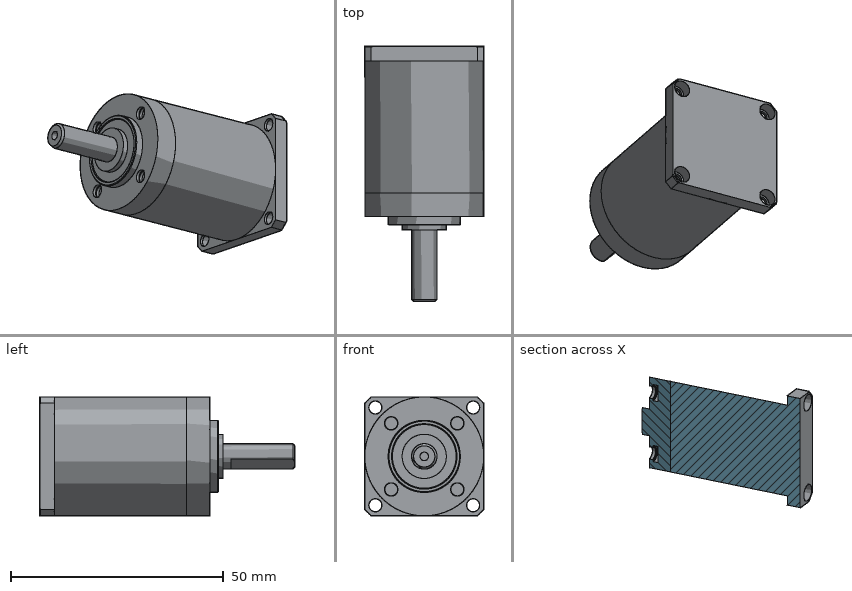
import cadquery as cq
import math


plate_side = 28.0
plate_thickness = 3.5
plate_corner_chamfer = 1.5
plate_hole_diameter = 3.0
plate_hole_spacing = 23.0
plate_counterbore_diameter = 4.0
plate_counterbore_depth = 2.85
plate_turned_diameter = 37.0
plate_turned_chamfer = 0.22
barrel_diameter = plate_side
housing_length = 34.6

head_length = 5.5
face_hole_circle = 22.0
face_hole_mouth_diameter = 3.0
face_hole_step_diameter = 3.2
face_hole_step_start = 0.87
face_hole_pocket_diameter = 4.0
face_hole_pocket_start = 1.1
face_hole_depth = 2.2
pilot_diameter = 17.0
pilot_height = 2.0
pilot_chamfer = 0.2
bore_diameter = 15.0
bore_chamfer = 0.2

shaft_diameter = 6.0
shaft_projection = 20.0
shaft_tip_chamfer = 0.5
collar_diameter = 10.4
collar_height = 1.1
flat_length = 15.0
flat_distance = 2.5
flat_angle = 225.0
center_hole_diameter = 2.0
center_hole_depth = 5.0

head_back_y = -housing_length
head_front_y = head_back_y - head_length
pilot_front_y = head_front_y - pilot_height
hub_front_y = pilot_front_y + bore_chamfer
collar_front_y = pilot_front_y - collar_height
shaft_tip_y = head_front_y - shaft_projection


def plane_at(y):
    """Sketch plane facing -Y, with its x along +X and its y along +Z."""
    return cq.Workplane("XZ", origin=(0, y, 0))


def cylinder(diameter, back_y, front_y):
    """Cylinder on the gearbox axis between two places along Y."""
    return plane_at(back_y).circle(diameter / 2).extrude(back_y - front_y)


def square_holes(spacing, diameter, back_y, front_y):
    """Four round cutters on the corners of a square, between two places along Y."""
    corners = plane_at(back_y).rect(spacing, spacing, forConstruction=True).vertices()
    return corners.circle(diameter / 2).extrude(back_y - front_y)


def make_plate():
    """Square plate with cut corners, turned to a slight cone at its back face."""
    plate = plane_at(0).rect(plate_side, plate_side).extrude(plate_thickness)
    plate = plate.edges("|Y").chamfer(plate_corner_chamfer)
    turned_blank_diameter = plate_turned_diameter + 2 * plate_turned_chamfer
    turned_blank = cylinder(turned_blank_diameter, 0, -plate_thickness)
    turned_blank = turned_blank.faces(">Y").chamfer(plate_turned_chamfer)
    corner_keeper = plane_at(-plate_turned_chamfer).rect(plate_side, plate_side)
    corner_keeper = corner_keeper.extrude(plate_thickness - plate_turned_chamfer)
    return plate.intersect(turned_blank.union(corner_keeper))


def make_housing():
    """Plate with mounting holes, counterbored from the back, and the barrel in front of it."""
    plate = make_plate()
    plate = plate.cut(square_holes(plate_hole_spacing, plate_hole_diameter, 0, -plate_thickness))
    counterbores = square_holes(plate_hole_spacing, plate_counterbore_diameter, 0, -plate_counterbore_depth)
    plate = plate.cut(counterbores)
    barrel = cylinder(barrel_diameter, -plate_thickness, head_back_y)
    return plate.union(barrel)


def make_face_holes():
    """Blind holes in the head's face that widen in steps behind a narrow mouth."""
    spacing = face_hole_circle / math.sqrt(2)
    step_y = head_front_y + face_hole_step_start
    pocket_y = head_front_y + face_hole_pocket_start
    bottom_y = head_front_y + face_hole_depth
    mouths = square_holes(spacing, face_hole_mouth_diameter, step_y, head_front_y)
    steps = square_holes(spacing, face_hole_step_diameter, pocket_y, step_y)
    pockets = square_holes(spacing, face_hole_pocket_diameter, bottom_y, pocket_y)
    return [mouths, steps, pockets]


def make_head():
    """Ring-shaped flange and pilot around the bore that takes the shaft's hub."""
    flange = cylinder(barrel_diameter, head_back_y, head_front_y)
    pilot = cylinder(pilot_diameter, head_front_y, pilot_front_y).faces("<Y").chamfer(pilot_chamfer)
    bore = cylinder(bore_diameter, head_back_y, pilot_front_y)
    head = flange.union(pilot).cut(bore)
    bore_rim = head.faces("<Y").edges(cq.selectors.RadiusNthSelector(0))
    head = bore_rim.chamfer(bore_chamfer)
    for cutters in make_face_holes():
        head = head.cut(cutters)
    return head


def make_flat_cutter():
    """Block that leaves the D-cut facing toward -X and -Z."""
    depth = shaft_diameter / 2 - flat_distance
    block = (
        plane_at(shaft_tip_y + flat_length)
        .center(flat_distance + depth / 2, 0)
        .rect(depth, shaft_diameter)
        .extrude(flat_length)
    )
    return block.rotate((0, 0, 0), (0, 1, 0), -flat_angle)


def make_output_shaft():
    """Hub, collar and D-cut end on one axis, with a blind center hole in the tip."""
    hub = cylinder(bore_diameter, head_back_y, hub_front_y)
    collar = cylinder(collar_diameter, hub_front_y, collar_front_y)
    shaft_end = cylinder(shaft_diameter, collar_front_y, shaft_tip_y).faces("<Y").chamfer(shaft_tip_chamfer)
    shaft_end = shaft_end.cut(make_flat_cutter())
    center_hole = cylinder(center_hole_diameter, shaft_tip_y + center_hole_depth, shaft_tip_y)
    return hub.union(collar).union(shaft_end).cut(center_hole)


housing = make_housing().solids()
head = make_head().solids()
output_shaft = make_output_shaft().solids()

result = cq.Compound.makeCompound([housing.val(), head.val(), output_shaft.val()])